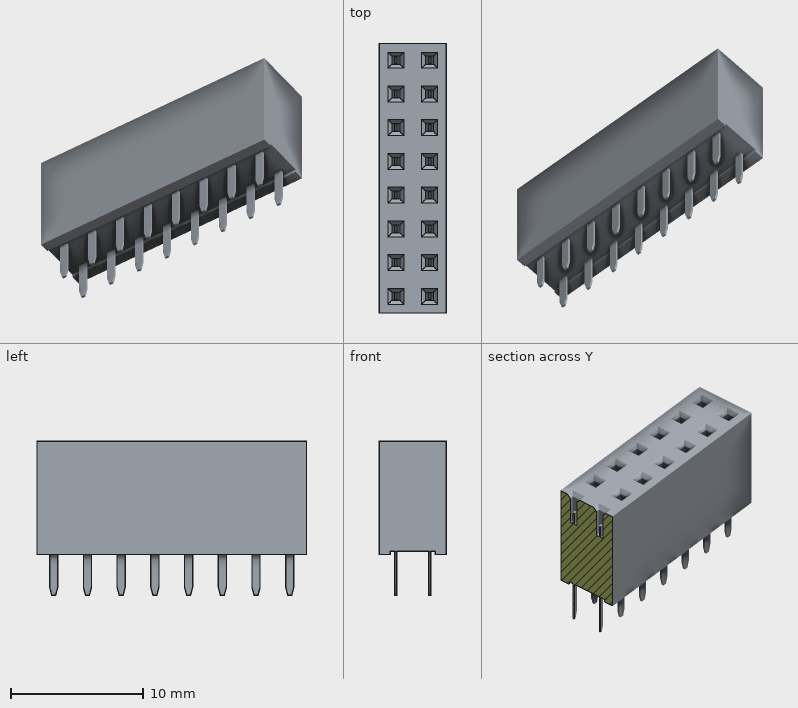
import cadquery as cq

ROWS = 8
COLUMNS = 2
PITCH = 2.55

BODY_WIDTH = COLUMNS * PITCH
BODY_LENGTH = ROWS * PITCH
BODY_HEIGHT = 8.53
FOOT_WIDTH = 0.85
FOOT_HEIGHT = 0.25

FUNNEL_MOUTH = 1.2
HOLE_SIZE = 0.6
FUNNEL_DEPTH = (FUNNEL_MOUTH - HOLE_SIZE) / 2
HOLE_DEPTH = 2.55
HOLE_FLOOR = BODY_HEIGHT - HOLE_DEPTH

PIN_THICKNESS = 0.18
PIN_WIDTH = 0.63
PIN_DROP = 3.07
TIP_WIDTH = 0.3
TIP_LENGTH = 0.6
PIN_X_SPACING = 2.56
BLADE_WIDTH = 0.5
BLADE_RECESS = 1.52
BLADE_TOP = BODY_HEIGHT - BLADE_RECESS


def grid_points(x_spacing):
    """Centres of all contacts, centred on the housing."""
    return [
        ((column - (COLUMNS - 1) / 2) * x_spacing, (row - (ROWS - 1) / 2) * PITCH)
        for column in range(COLUMNS)
        for row in range(ROWS)
    ]


def make_housing():
    """Block with a shallow channel between the feet along its underside."""
    block = cq.Workplane("XY").box(BODY_WIDTH, BODY_LENGTH, BODY_HEIGHT, centered=(True, True, False))
    channel = cq.Workplane("XY").box(
        BODY_WIDTH - 2 * FOOT_WIDTH, BODY_LENGTH, FOOT_HEIGHT, centered=(True, True, False)
    )
    return block.cut(channel)


def make_socket():
    """Cutter for one socket, with its mouth on the housing top."""
    funnel = (
        cq.Workplane("XY", origin=(0, 0, BODY_HEIGHT))
        .rect(FUNNEL_MOUTH, FUNNEL_MOUTH)
        .workplane(offset=-FUNNEL_DEPTH)
        .rect(HOLE_SIZE, HOLE_SIZE)
        .loft()
    )
    hole = cq.Workplane("XY", origin=(0, 0, HOLE_FLOOR)).box(
        HOLE_SIZE, HOLE_SIZE, HOLE_DEPTH - FUNNEL_DEPTH, centered=(True, True, False)
    )
    return funnel.union(hole)


def make_pin():
    """Flat pin with a tapered tip, reaching up into the socket hole as a narrower blade."""
    half_width = PIN_WIDTH / 2
    half_blade = BLADE_WIDTH / 2
    half_tip = TIP_WIDTH / 2
    taper_start = TIP_LENGTH - PIN_DROP
    outline = [
        (-half_tip, -PIN_DROP),
        (half_tip, -PIN_DROP),
        (half_width, taper_start),
        (half_width, HOLE_FLOOR),
        (half_blade, HOLE_FLOOR),
        (half_blade, BLADE_TOP),
        (-half_blade, BLADE_TOP),
        (-half_blade, HOLE_FLOOR),
        (-half_width, HOLE_FLOOR),
        (-half_width, taper_start),
    ]
    return cq.Workplane("YZ").polyline(outline).close().extrude(PIN_THICKNESS / 2, both=True)


result = make_housing()
socket = make_socket()
for x, y in grid_points(PITCH):
    result = result.cut(socket.translate((x, y, 0)))
pin = make_pin()
for x, y in grid_points(PIN_X_SPACING):
    result = result.union(pin.translate((x, y, 0)))